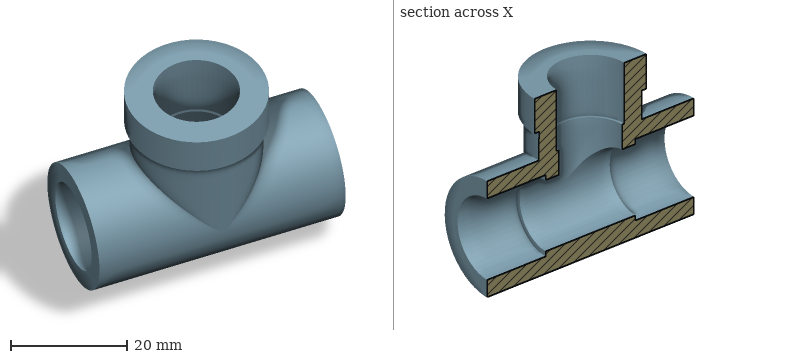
import cadquery as cq

run_length = 46.0
pipe_diameter = 23.0
bore_diameter = 14.0
run_socket_diameter = 16.0
run_socket_depth = 13.0

branch_height = 24.0
collar_diameter = 25.0
collar_height = 6.95
branch_socket_diameter = 15.0
branch_socket_depth = 12.0


def run_cylinder(diameter, start, length):
    """Cylinder along +Y on the run axis, beginning at Y = start."""
    axis_start = cq.Vector(0, start, 0)
    return cq.Workplane(cq.Solid.makeCylinder(diameter / 2, length, axis_start, cq.Vector(0, 1, 0)))


def branch_cylinder(diameter, start, length):
    """Cylinder along +Z on the branch axis, beginning at Z = start."""
    return cq.Workplane("XY").workplane(offset=start).circle(diameter / 2).extrude(length)


run_end = run_length / 2
body = run_cylinder(pipe_diameter, -run_end, run_length)
body = body.union(branch_cylinder(pipe_diameter, 0, branch_height))
body = body.union(branch_cylinder(collar_diameter, branch_height - collar_height, collar_height))

body = body.cut(run_cylinder(bore_diameter, -run_end, run_length))
body = body.cut(branch_cylinder(bore_diameter, 0, branch_height))

for socket_start in (-run_end, run_end - run_socket_depth):
    body = body.cut(run_cylinder(run_socket_diameter, socket_start, run_socket_depth))
branch_socket_floor = branch_height - branch_socket_depth
body = body.cut(branch_cylinder(branch_socket_diameter, branch_socket_floor, branch_socket_depth))

result = body